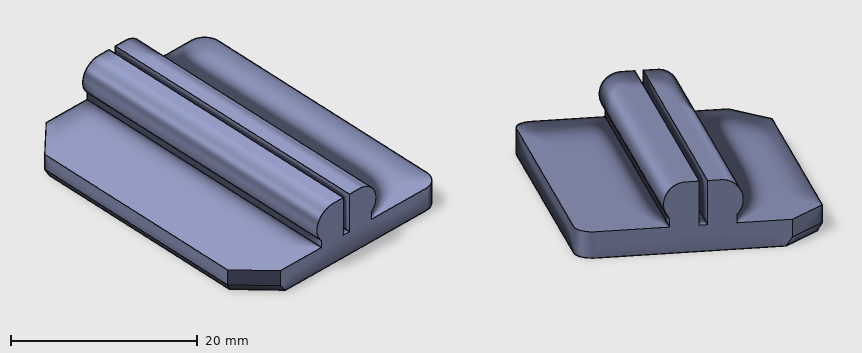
import cadquery as cq

length = 36.5
depth = 27.5
plate_height = 3.0
back_corner_radius = 2.0
front_corner_cut = 4.0

bevel_height = 1.0
bevel_inset = 0.5

total_height = 8.0
neck_half_width = 3.7
lobe_radius = 2.4
lobe_half_width = 4.35
slot_width = 0.9

half_length = length / 2
half_depth = depth / 2


def make_plate():
    """Flat plate with rounded back corners and 45 degree front corners."""
    plate = cq.Workplane("XY").box(length, depth, plate_height, centered=(True, True, False))
    plate = plate.edges("|Z and >Y").fillet(back_corner_radius)
    return plate.edges("|Z and <Y").chamfer(front_corner_cut)


def make_bevel_envelope():
    """Trapezoid following the front and cut corners, drawn in towards the bottom."""
    front_half_width = half_length - front_corner_cut
    back_half_width = front_half_width + 2 * depth
    front_y = -half_depth
    back_y = front_y + 2 * depth
    outline = [
        (-front_half_width, front_y),
        (front_half_width, front_y),
        (back_half_width, back_y),
        (-back_half_width, back_y),
    ]
    section = cq.Workplane("XY").workplane(offset=bevel_height).polyline(outline).close()
    upper = section.extrude(plate_height - bevel_height)
    lower = (
        cq.Workplane("XY")
        .polyline(outline)
        .close()
        .offset2D(-bevel_inset, "intersection")
        .workplane(offset=bevel_height)
        .polyline(outline)
        .close()
        .loft(ruled=True)
    )
    return upper.union(lower)


def make_rail():
    """Two mirrored round-sided lobes on straight necks, parted by a slot."""
    inner = slot_width / 2
    center_y = lobe_half_width - lobe_radius
    center_z = total_height - lobe_radius
    neck_top = center_z - (lobe_radius**2 - (neck_half_width - center_y) ** 2) ** 0.5
    lobe = (
        cq.Workplane("YZ")
        .workplane(offset=-half_length)
        .moveTo(inner, plate_height)
        .lineTo(neck_half_width, plate_height)
        .lineTo(neck_half_width, neck_top)
        .threePointArc((lobe_half_width, center_z), (center_y, total_height))
        .lineTo(inner, total_height)
        .close()
        .extrude(length)
    )
    return lobe.union(lobe.mirror("XZ"))


result = make_plate().intersect(make_bevel_envelope()).union(make_rail())